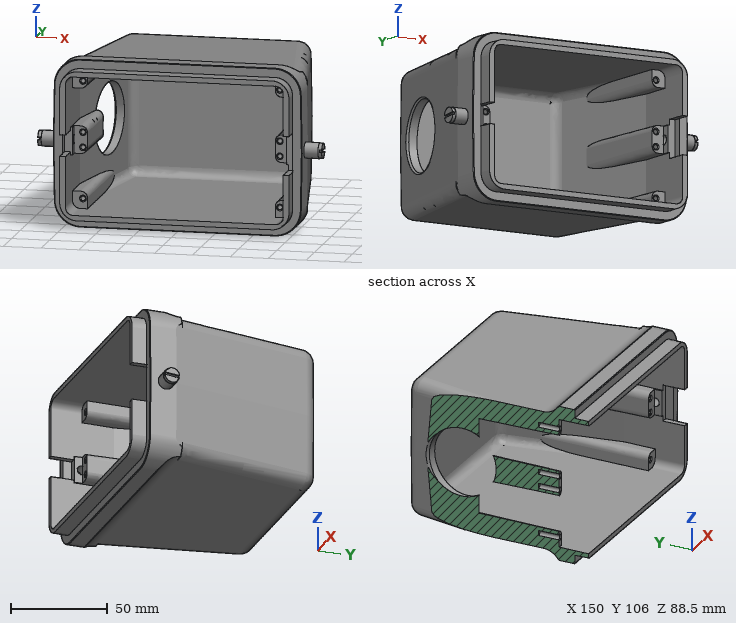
import cadquery as cq
import math


FLANGE_HALF_X = 65.75
FLANGE_HALF_Z = 44.25
FLANGE_CORNER_R = 14.0
FLANGE_SIDE_LENGTH = 14.7
FLANGE_BAND_LENGTH = 9.0
FLANGE_EDGE_CHAMFER = 0.4
BAND_BEVEL_Y = 1.2
BAND_BEVEL_Z = 1.0
SIDE_DRAFT = math.tan(math.radians(1.0))

BODY_LENGTH = 98.0
BODY_HALF_Z = 39.25
BODY_SIDE_ANGLE = 10.9
BODY_EDGE_R = 7.0
BLEND_LENGTH = 18.3

LIP_LENGTH = 8.0
LIP_HALF_X = 60.7
LIP_HALF_Z = 39.4
LIP_CORNER_R = 9.2
LIP_DRAFT = 1.0

MOUTH_HALF_X = 57.5
MOUTH_HALF_Z = 36.5
MOUTH_DEPTH = 27.0
CAVITY_END = 93.0
CAVITY_END_HALF_Z = 35.5
CAVITY_CORNER_R = 4.2
CAVITY_BACK_R = 5.0

NOTCH_DEPTH = 4.6
NOTCH_INNER_X = 56.6
NOTCH_HALF_Z_LEFT = 5.7
NOTCH_HALF_Z_RIGHT = 10.3

BOSS_FRONT = 9.0
BOSS_INNER_X = 49.6
BOSS_CORNER_R = 3.5
BOSS_DRAFT = 0.5
CORNER_BOSS_INNER_Z = 27.2
SIDE_BOSS_HALF_Z = 7.3
SCREW_X = 52.0
CORNER_SCREW_Z = 31.0
SIDE_SCREW_Z = 4.0
SCREW_HOLE_D = 2.5
SCREW_SINK_D = 3.5
SCREW_HOLE_DEPTH = 12.0

ENTRY_Y = 66.1
ENTRY_D = 38.5
ENTRY_MOUTH_D = 40.9
ENTRY_DRILL_LENGTH = 16.0

PIN_Y = 8.7
PIN_D = 8.4
PIN_TIP_D = 8.0
PIN_TIP_LENGTH = 1.9
PIN_ROOT_X = 58.6
PIN_END_X = 75.01
PIN_BORE_D = 4.9
PIN_BORE_END_X = 64.0
PIN_SLOT_WIDTH = 1.3
PIN_SLOT_DEPTH = 1.0
PIN_SLOT_ANGLE = 6.5

SIDES = (-1, 1)
SIDE_SLOPE = math.tan(math.radians(BODY_SIDE_ANGLE))


def section(y):
    """XZ sketch plane at the given Y; local axes are X and Z, extruding toward -Y."""
    return cq.Workplane(cq.Plane(origin=(0, y, 0), xDir=(1, 0, 0), normal=(0, -1, 0)))


def drafted_outline(half_x, half_z):
    """Corner points of a section whose two sides are widest at Z = 0."""
    end_x = half_x - SIDE_DRAFT * half_z
    return [
        (half_x, 0), (end_x, half_z), (-end_x, half_z),
        (-half_x, 0), (-end_x, -half_z), (end_x, -half_z),
    ]


def rectangle(low_x, high_x, low_z, high_z):
    """Corner points of a rectangular section."""
    return [(low_x, low_z), (high_x, low_z), (high_x, high_z), (low_x, high_z)]


def side_half_x(y):
    """Half width of the tapered body at Z = 0."""
    return FLANGE_HALF_X - SIDE_SLOPE * (y - FLANGE_SIDE_LENGTH)


def ruled_loft(start, start_points, end, end_points):
    """Straight-sided solid between two polygons in the planes Y = start and Y = end."""
    first = section(start).polyline(start_points).close().val()
    last = section(end).polyline(end_points).close().val()
    return cq.Workplane(cq.Solid.makeLoft([first, last], True))


def rounded_section(y, half_x, half_z, radius):
    """Rectangle with rounded corners, placed in the plane at the given Y."""
    sketch = cq.Sketch().rect(2 * half_x, 2 * half_z).vertices().fillet(radius)
    return section(y).placeSketch(sketch)


def box(x_range, y_range, z_range):
    """Axis-aligned box from its limits, given in any order."""
    spans = [sorted(limits) for limits in (x_range, y_range, z_range)]
    size = [high - low for low, high in spans]
    return cq.Workplane("XY").box(*size, centered=False).translate(tuple(low for low, high in spans))


def make_body():
    body = ruled_loft(
        0, drafted_outline(side_half_x(0), BODY_HALF_Z),
        BODY_LENGTH, drafted_outline(side_half_x(BODY_LENGTH), BODY_HALF_Z),
    )
    long_edges = body.faces(">Z or <Z").edges("not #Y")
    back_edges = body.faces(">Y").edges()
    return long_edges.add(back_edges).fillet(BODY_EDGE_R)


def blend_profile():
    """YZ outline of the flange: bands, bevels and concave blends down to the body."""
    bevel_end = FLANGE_BAND_LENGTH + BAND_BEVEL_Y
    bevel_z = FLANGE_HALF_Z - BAND_BEVEL_Z
    run = BLEND_LENGTH - bevel_end
    drop = bevel_z - BODY_HALF_Z
    angle = 2 * math.atan2(drop, run)
    radius = run / math.sin(angle)
    mid_y = BLEND_LENGTH - radius * math.sin(angle / 2)
    mid_z = BODY_HALF_Z + radius * (1 - math.cos(angle / 2))
    return (
        cq.Workplane("YZ")
        .moveTo(0, FLANGE_HALF_Z)
        .lineTo(FLANGE_BAND_LENGTH, FLANGE_HALF_Z)
        .lineTo(bevel_end, bevel_z)
        .threePointArc((mid_y, mid_z), (BLEND_LENGTH, BODY_HALF_Z))
        .lineTo(BLEND_LENGTH, -BODY_HALF_Z)
        .threePointArc((mid_y, -mid_z), (bevel_end, -bevel_z))
        .lineTo(FLANGE_BAND_LENGTH, -FLANGE_HALF_Z)
        .lineTo(0, -FLANGE_HALF_Z)
        .close()
    )


def make_envelope():
    """Flange outline run along the flange and body; it trims the corners of both."""
    envelope = (
        section(0)
        .polyline(drafted_outline(FLANGE_HALF_X, FLANGE_HALF_Z)).close()
        .extrude(-BODY_LENGTH)
    )
    envelope = envelope.edges("|Y").edges(">Z or <Z").fillet(FLANGE_CORNER_R)
    return envelope.faces("<Y").chamfer(FLANGE_EDGE_CHAMFER)


def make_flange():
    side_limit = ruled_loft(
        0, drafted_outline(side_half_x(0), FLANGE_HALF_Z),
        BODY_LENGTH, drafted_outline(side_half_x(BODY_LENGTH), FLANGE_HALF_Z),
    )
    blend = blend_profile().extrude(side_half_x(0), both=True)
    return side_limit.intersect(blend)


def make_lip():
    root = rounded_section(0, LIP_HALF_X, LIP_HALF_Z, LIP_CORNER_R)
    return root.extrude(LIP_LENGTH, taper=LIP_DRAFT)


def make_pin(side):
    """Pin rooted in the flange wall, with a stepped, slotted tip."""
    shank_end = PIN_END_X - PIN_TIP_LENGTH
    start = cq.Workplane("YZ", origin=(PIN_ROOT_X, 0, 0)).center(PIN_Y, 0)
    pin = start.circle(PIN_D / 2).extrude(shank_end - PIN_ROOT_X)
    pin = pin.faces(">X").workplane().circle(PIN_TIP_D / 2).extrude(PIN_TIP_LENGTH)
    slot = box(
        (PIN_END_X - PIN_SLOT_DEPTH, PIN_END_X),
        (PIN_Y - PIN_D, PIN_Y + PIN_D),
        (-PIN_SLOT_WIDTH / 2, PIN_SLOT_WIDTH / 2),
    )
    slot = slot.rotate((0, PIN_Y, 0), (1, PIN_Y, 0), -PIN_SLOT_ANGLE)
    pin = pin.cut(slot)
    return pin if side > 0 else pin.mirror("YZ")


def make_boss(inner_x, outer_x, low_z, high_z, rounded):
    """Drafted boss that runs back from its front face until the side wall swallows it."""
    spread = math.tan(math.radians(BOSS_DRAFT)) * (CAVITY_END - BOSS_FRONT)
    end_inner_x = inner_x - math.copysign(spread, inner_x)
    boss = ruled_loft(
        BOSS_FRONT, rectangle(inner_x, outer_x, low_z, high_z),
        CAVITY_END, rectangle(end_inner_x, outer_x, low_z - spread, high_z + spread),
    )
    inner = "<X" if inner_x > 0 else ">X"
    return boss.faces(inner).edges(rounded).fillet(BOSS_CORNER_R)


def make_bosses():
    bosses = cq.Workplane("XY")
    for side in SIDES:
        inner_x = side * BOSS_INNER_X
        outer_x = side * FLANGE_HALF_X
        bosses = bosses.add(make_boss(
            inner_x, outer_x, CORNER_BOSS_INNER_Z, FLANGE_HALF_Z, "<Z"))
        bosses = bosses.add(make_boss(
            inner_x, outer_x, -FLANGE_HALF_Z, -CORNER_BOSS_INNER_Z, ">Z"))
        bosses = bosses.add(make_boss(
            inner_x, outer_x, -SIDE_BOSS_HALF_Z, SIDE_BOSS_HALF_Z, "<Z or >Z"))
        bosses = bosses.add(box(
            (side * NOTCH_INNER_X, outer_x), (NOTCH_DEPTH, BOSS_FRONT),
            (-SIDE_BOSS_HALF_Z, SIDE_BOSS_HALF_Z)))
    return bosses.combine()


def make_cavity():
    """Straight mouth and tapered rear part, with top and bottom walls in one drafted plane."""
    depth_share = (MOUTH_DEPTH + LIP_LENGTH) / (CAVITY_END + LIP_LENGTH)
    bend_half_z = MOUTH_HALF_Z + depth_share * (CAVITY_END_HALF_Z - MOUTH_HALF_Z)
    end_half_x = MOUTH_HALF_X - SIDE_SLOPE * (CAVITY_END - MOUTH_DEPTH)
    front = rectangle(-MOUTH_HALF_X, MOUTH_HALF_X, -MOUTH_HALF_Z, MOUTH_HALF_Z)
    bend = rectangle(-MOUTH_HALF_X, MOUTH_HALF_X, -bend_half_z, bend_half_z)
    end = rectangle(-end_half_x, end_half_x, -CAVITY_END_HALF_Z, CAVITY_END_HALF_Z)
    mouth = ruled_loft(-LIP_LENGTH, front, MOUTH_DEPTH, bend)
    rear = ruled_loft(MOUTH_DEPTH, bend, CAVITY_END, end)
    mouth = mouth.edges("not(<Y or >Y)").fillet(CAVITY_CORNER_R)
    rear = rear.edges(">Y").fillet(CAVITY_BACK_R)
    between_ends = cq.selectors.BoxSelector(
        (-MOUTH_HALF_X, MOUTH_DEPTH + CAVITY_BACK_R, -MOUTH_HALF_Z),
        (MOUTH_HALF_X, CAVITY_END - 2 * CAVITY_BACK_R, MOUTH_HALF_Z))
    rear = rear.edges(between_ends).fillet(CAVITY_CORNER_R)
    return mouth.union(rear).cut(make_bosses())


def make_notch(side, half_z):
    return box(
        (side * NOTCH_INNER_X, side * LIP_HALF_X), (-LIP_LENGTH, NOTCH_DEPTH), (-half_z, half_z))


def make_entry():
    """Cable entry cutter with a conical mouth, square to the sloping -X wall."""
    tilt = math.radians(BODY_SIDE_ANGLE)
    inward = (math.cos(tilt), -math.sin(tilt), 0)
    plane = cq.Plane(origin=(-side_half_x(ENTRY_Y), ENTRY_Y, 0), xDir=(0, 0, 1), normal=inward)
    bore = cq.Workplane(plane).circle(ENTRY_D / 2).extrude(ENTRY_DRILL_LENGTH)
    cone_depth = (ENTRY_MOUTH_D - ENTRY_D) / 2
    cone = cq.Solid.makeCone(
        ENTRY_MOUTH_D / 2, ENTRY_D / 2, cone_depth, plane.origin, plane.zDir)
    return bore.union(cq.Workplane(cone))


def make_screw_holes():
    places = []
    for x in (-SCREW_X, SCREW_X):
        for z in (-CORNER_SCREW_Z, -SIDE_SCREW_Z, SIDE_SCREW_Z, CORNER_SCREW_Z):
            places.append((x, z))
    sink_depth = (SCREW_SINK_D - SCREW_HOLE_D) / 2
    holes = section(BOSS_FRONT).pushPoints(places).circle(SCREW_HOLE_D / 2).extrude(-SCREW_HOLE_DEPTH)
    for x, z in places:
        sink = cq.Solid.makeCone(
            SCREW_SINK_D / 2, SCREW_HOLE_D / 2, sink_depth,
            cq.Vector(x, BOSS_FRONT, z), cq.Vector(0, 1, 0))
        holes = holes.union(cq.Workplane(sink))
    return holes


def make_pin_bore(side):
    """Blind bore behind each pin, opening on the inner face of the wall pad."""
    length = PIN_BORE_END_X - NOTCH_INNER_X
    start = cq.Workplane("YZ", origin=(side * NOTCH_INNER_X, 0, 0))
    return start.center(PIN_Y, 0).circle(PIN_BORE_D / 2).extrude(side * length)


hood = make_body().union(make_flange()).intersect(make_envelope()).union(make_lip())
for side in SIDES:
    hood = hood.union(make_pin(side))
hood = hood.cut(make_cavity()).cut(make_entry()).cut(make_screw_holes())
hood = hood.cut(make_notch(-1, NOTCH_HALF_Z_LEFT)).cut(make_notch(1, NOTCH_HALF_Z_RIGHT))
for side in SIDES:
    hood = hood.cut(make_pin_bore(side))

result = hood